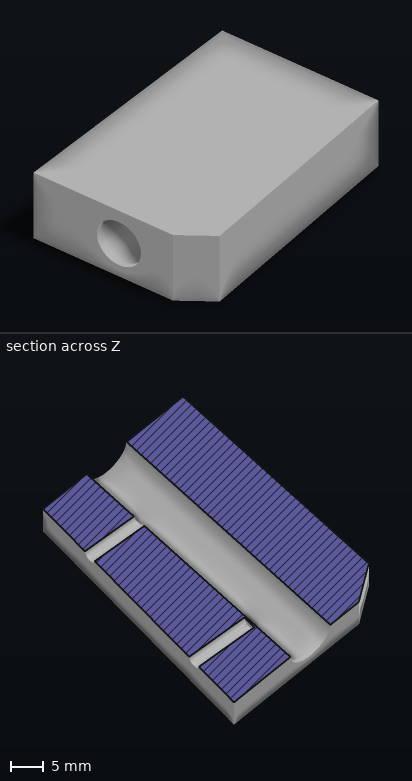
import cadquery as cq

length = 45.25
width = 32.15
height = 12.7
taper = 2.7
corner_cut_x = 5.9
corner_cut_y = 4.0

bore_diameter = 8.33
bore_x = width / 2

side_hole_diameter = 2.25
side_hole_depth = 11.0
side_hole_positions_y = (9.5, 34.15)

mid_height = height / 2


def make_block():
    outline = [
        (0, 0),
        (width - corner_cut_x, 0),
        (width, corner_cut_y),
        (width, length),
        (taper, length),
    ]
    return cq.Workplane("XY").polyline(outline).close().extrude(height)


def make_bore():
    return (
        cq.Workplane("XZ")
        .center(bore_x, mid_height)
        .circle(bore_diameter / 2)
        .extrude(-length)
    )


def make_side_hole(entry_y):
    entry = cq.Vector(taper * entry_y / length, entry_y, mid_height)
    inward = cq.Vector(length, -taper, 0)
    return cq.Workplane(cq.Solid.makeCylinder(side_hole_diameter / 2, side_hole_depth, entry, inward))


result = make_block().cut(make_bore())
for hole_y in side_hole_positions_y:
    result = result.cut(make_side_hole(hole_y))